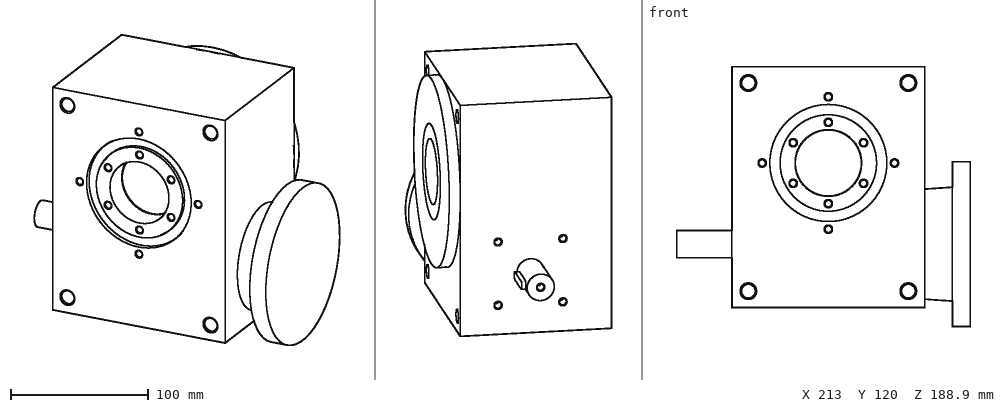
import cadquery as cq
import math


HOUSING_LENGTH = 140.0
HOUSING_DEPTH = 111.8
HOUSING_HEIGHT = 174.9
INPUT_AXIS_HEIGHT = 46.0

FLANGE_DIAMETER = 120.0
FLANGE_THICKNESS = 13.0
NECK_LENGTH = 20.0
NECK_ROOT_DIAMETER = 80.0
NECK_END_DIAMETER = 82.9

BOSS_DIAMETER = HOUSING_LENGTH
BOSS_HEIGHT = 8.0
SEAL_RECESS_DIAMETER = 85.0
SEAL_RECESS_DEPTH = 4.0
HUB_DIAMETER = 70.0
HUB_SETBACK = 1.0
HUB_BORE_DIAMETER = 48.0
HUB_RELIEF_DIAMETER = 49.0
HUB_LAND_LENGTH = 20.0

SHAFT_DIAMETER = 20.0
SHAFT_LENGTH = 40.0
KEY_LENGTH = 30.0
KEY_WIDTH = 6.0
KEY_RISE = 3.0
KEY_SEAT_DEPTH = 2.1

TAP_DIAMETER = 5.0
TAP_MOUTH_DIAMETER = 6.0
TAP_DEPTH = 12.0
DRILL_TIP_ANGLE = 118
HOUSING_TAP_CIRCLE = 96.0
HOUSING_TAP_COUNT = 4
HUB_TAP_CIRCLE = 59.0
HUB_TAP_COUNT = 6
INPUT_TAP_SPACING = 48.0

MOUNT_DIAMETER = 10.0
MOUNT_MOUTH_DIAMETER = 12.0
MOUNT_INSET = 12.0

FRONT_Y = -FLANGE_DIAMETER / 2
BACK_Y = FRONT_Y + HOUSING_DEPTH
REAR_END_Y = BACK_Y + BOSS_HEIGHT
HUB_FACE_Y = FRONT_Y + HUB_SETBACK
BOTTOM_Z = -INPUT_AXIS_HEIGHT
TOP_Z = BOTTOM_Z + HOUSING_HEIGHT
HUB_X = HOUSING_LENGTH / 2
HUB_Z = TOP_Z - BOSS_DIAMETER / 2

ALONG_X = cq.Vector(1, 0, 0)
ALONG_Y = cq.Vector(0, 1, 0)


def cylinder(diameter, length, base, direction):
    return cq.Workplane(cq.Solid.makeCylinder(diameter / 2, length, cq.Vector(*base), direction))


def cone(base_diameter, end_diameter, length, base, direction):
    return cq.Workplane(
        cq.Solid.makeCone(base_diameter / 2, end_diameter / 2, length, cq.Vector(*base), direction)
    )


def chamfered_mouth(mouth_diameter, hole_diameter, mouth, direction):
    """45-degree countersink cutter that narrows from the mouth to the hole."""
    depth = (mouth_diameter - hole_diameter) / 2
    return cone(mouth_diameter, hole_diameter, depth, mouth, direction)


def tapped_hole(mouth, direction):
    """Cutter for a blind hole with a chamfered mouth and a drill tip."""
    tip_length = TAP_DIAMETER / 2 / math.tan(math.radians(DRILL_TIP_ANGLE / 2))
    tip_base = (cq.Vector(*mouth) + direction * TAP_DEPTH).toTuple()
    hole = cylinder(TAP_DIAMETER, TAP_DEPTH, mouth, direction)
    hole = hole.union(cone(TAP_DIAMETER, 0, tip_length, tip_base, direction))
    return hole.union(chamfered_mouth(TAP_MOUTH_DIAMETER, TAP_DIAMETER, mouth, direction))


def points_around_hub(circle_diameter, count, y):
    """Evenly spaced points around the output axis, the first one straight above it."""
    points = []
    for i in range(count):
        angle = 2 * math.pi * i / count
        x = HUB_X + circle_diameter / 2 * math.sin(angle)
        z = HUB_Z + circle_diameter / 2 * math.cos(angle)
        points.append((x, y, z))
    return points


def mounting_hole(x, z):
    """Cutter for a through hole along Y with a chamfered front mouth."""
    mouth = (x, FRONT_Y, z)
    hole = cylinder(MOUNT_DIAMETER, HOUSING_DEPTH, mouth, ALONG_Y)
    return hole.union(chamfered_mouth(MOUNT_MOUTH_DIAMETER, MOUNT_DIAMETER, mouth, ALONG_Y))


def make_housing():
    block = cq.Workplane("XY").box(
        HOUSING_LENGTH, HOUSING_DEPTH, HOUSING_HEIGHT, centered=False
    ).translate((0, FRONT_Y, BOTTOM_Z))
    boss = cylinder(BOSS_DIAMETER, BOSS_HEIGHT, (HUB_X, BACK_Y, HUB_Z), ALONG_Y)
    neck = cone(NECK_ROOT_DIAMETER, NECK_END_DIAMETER, NECK_LENGTH, (HOUSING_LENGTH, 0, 0), ALONG_X)
    flange_base = (HOUSING_LENGTH + NECK_LENGTH, 0, 0)
    flange = cylinder(FLANGE_DIAMETER, FLANGE_THICKNESS, flange_base, ALONG_X)
    housing = block.union(boss).union(neck).union(flange)

    hub_front = (HUB_X, FRONT_Y, HUB_Z)
    housing = housing.cut(cylinder(HUB_DIAMETER, REAR_END_Y - FRONT_Y, hub_front, ALONG_Y))
    housing = housing.cut(cylinder(SEAL_RECESS_DIAMETER, SEAL_RECESS_DEPTH, hub_front, ALONG_Y))

    for x in (MOUNT_INSET, HOUSING_LENGTH - MOUNT_INSET):
        for z in (BOTTOM_Z + MOUNT_INSET, TOP_Z - MOUNT_INSET):
            housing = housing.cut(mounting_hole(x, z))

    for point in points_around_hub(HOUSING_TAP_CIRCLE, HOUSING_TAP_COUNT, FRONT_Y):
        housing = housing.cut(tapped_hole(point, ALONG_Y))
    for y in (-INPUT_TAP_SPACING / 2, INPUT_TAP_SPACING / 2):
        for z in (-INPUT_TAP_SPACING / 2, INPUT_TAP_SPACING / 2):
            housing = housing.cut(tapped_hole((0, y, z), ALONG_X))
    return housing


def make_output_hub():
    """Hollow output shaft whose bore is relieved between two end lands."""
    length = REAR_END_Y - HUB_FACE_Y
    face = (HUB_X, HUB_FACE_Y, HUB_Z)
    hub = cylinder(HUB_DIAMETER, length, face, ALONG_Y)
    hub = hub.cut(cylinder(HUB_BORE_DIAMETER, length, face, ALONG_Y))
    relief_start = (HUB_X, HUB_FACE_Y + HUB_LAND_LENGTH, HUB_Z)
    hub = hub.cut(cylinder(HUB_RELIEF_DIAMETER, length - 2 * HUB_LAND_LENGTH, relief_start, ALONG_Y))
    for point in points_around_hub(HUB_TAP_CIRCLE, HUB_TAP_COUNT, HUB_FACE_Y):
        hub = hub.cut(tapped_hole(point, ALONG_Y))
    return hub


def make_input_shaft():
    """Shaft stub with a round-ended key on its +Y side and a tapped centre hole."""
    end = (-SHAFT_LENGTH, 0, 0)
    shaft = cylinder(SHAFT_DIAMETER, SHAFT_LENGTH, end, ALONG_X)
    key_top_y = SHAFT_DIAMETER / 2 + KEY_RISE
    key = (
        cq.Workplane("XZ", origin=(-SHAFT_LENGTH / 2, key_top_y, 0))
        .slot2D(KEY_LENGTH, KEY_WIDTH)
        .extrude(KEY_RISE + KEY_SEAT_DEPTH)
    )
    return shaft.union(key).cut(tapped_hole(end, ALONG_X))


housing = make_housing()
output_hub = make_output_hub()
input_shaft = make_input_shaft()

result = cq.Compound.makeCompound([housing.val(), output_hub.val(), input_shaft.val()])